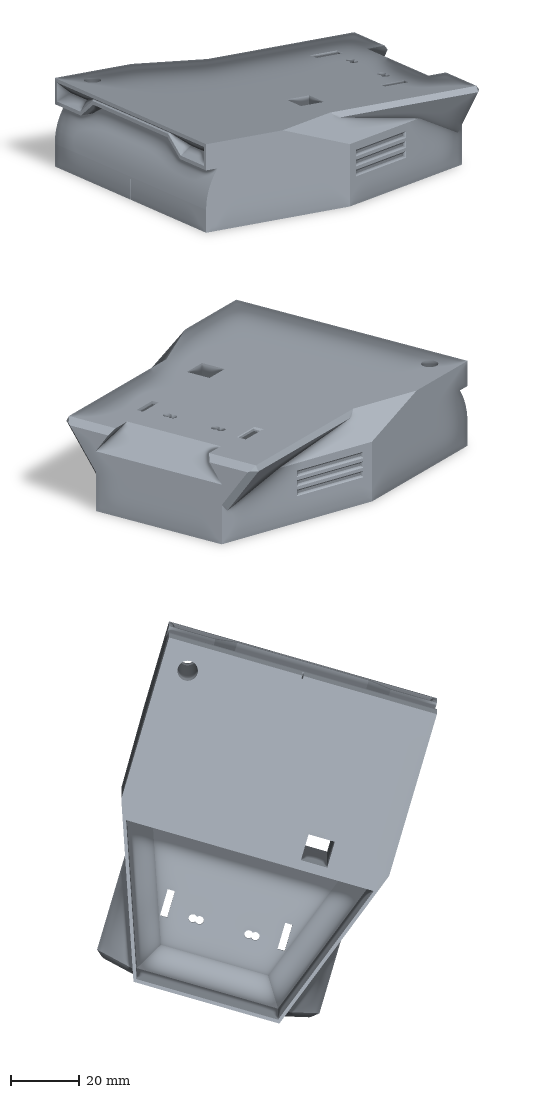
import cadquery as cq
import math

WIDTH = 81.5
LENGTH = 101.0
HEIGHT = 27.0
HALF_WIDTH = WIDTH / 2

TAPER_START = 50.0
TAPER_ANGLE = math.radians(20)
BODY_CHAMFER = 8.0
FRONT_RADIUS = 20.0
SHOULDER_Z = HEIGHT - BODY_CHAMFER

WALL = 1.0
CAVITY_START = 55.5

DECK_HALF_WIDTH = 33.8
DECK_TOP_INSET = 0.9
DECK_EDGE_Z = 25.2
DECK_UNDERSIDE_ANGLE = math.radians(54)
DECK_START = 30.3
DECK_BEVEL = 1.9
NOTCH_HALF_WIDTH = 16.5

LIP_INNER_X = 26.7
LIP_BRIDGE_X = 20.0
LIP_BRIDGE_Z = 23.9
LIP_WALL = 1.1

CORNER_HOLE_DIAMETER = 5.0
CORNER_BORE_DIAMETER = 6.0
CORNER_HOLE_INSET = 8.0
WINDOW_SIZE = 8.0
WINDOW_X, WINDOW_Y = 18.7, 48.7
SLOT_X, SLOT_Y = 17.9, 80.3
SLOT_WIDTH, SLOT_LENGTH = 2.2, 8.2
FLARE_X, FLARE_Y = -18.2, 80.1
FLARE_WIDTH, FLARE_LENGTH = 3.3, 9.2
FLARE_DEPTH = 0.5
PIN_HOLE_DIAMETER = 2.5
PIN_HOLE_SPACING = 2.0
PIN_PAIR_X, PIN_PAIR_Y = 8.5, 82.5

VENT_COUNT = 3
VENT_PITCH = 3.0
VENT_LENGTH, VENT_HEIGHT = 24.0, 2.0
VENT_DEPTH = 0.6
VENT_CENTRE_Y, VENT_CENTRE_Z = 64.1, 12.5

GROOVE_WIDTH, GROOVE_DEPTH, GROOVE_HEIGHT = 0.4, 1.0, 6.3


def across_width(points, half_width):
    """Extrude an outline of (y, z) points symmetrically across X."""
    return cq.Workplane("YZ").polyline(points).close().extrude(half_width, both=True)


def along_length(points, start, end):
    """Extrude an outline of (x, z) points from one Y position to another."""
    plane = cq.Workplane("XZ", origin=(0, start, 0))
    return plane.polyline(points).close().extrude(start - end)


def mirrored(points):
    """Close a right-hand outline with its reflection in X = 0."""
    return points + [(-x, z) for x, z in reversed(points)]


def polyhedron(outlines):
    """Solid bounded by flat faces, each given as a list of corner points."""
    faces = []
    for outline in outlines:
        wire = cq.Wire.makePolygon([cq.Vector(*corner) for corner in outline], close=True)
        faces.append(cq.Face.makeFromWires(wire))
    return cq.Workplane(cq.Solid.makeSolid(cq.Shell.makeShell(faces)))


def tapered_half_width(y, inset=0.0):
    """Half width of the tapered body at a given Y, measured inside walls of the given inset."""
    return HALF_WIDTH - (y - TAPER_START) * math.tan(TAPER_ANGLE) - inset / math.cos(TAPER_ANGLE)


REAR_HALF_WIDTH = tapered_half_width(LENGTH)


def chamfered_block(plan, height, chamfer):
    """Block on the ground plane with its tapered and rear top edges chamfered."""
    block = cq.Workplane("XY").polyline(plan).close().extrude(height)
    return block.edges(">Z").edges("not(|Y or <Y)").chamfer(chamfer)


def make_body():
    plan = mirrored([(HALF_WIDTH, 0), (HALF_WIDTH, TAPER_START), (REAR_HALF_WIDTH, LENGTH)])
    block = chamfered_block(plan, HEIGHT, BODY_CHAMFER)
    arc_start_z = HEIGHT - FRONT_RADIUS
    half_chord = FRONT_RADIUS * math.sqrt(0.5)
    side_profile = (
        cq.Workplane("YZ")
        .moveTo(0, 0)
        .lineTo(0, arc_start_z)
        .threePointArc((FRONT_RADIUS - half_chord, arc_start_z + half_chord), (FRONT_RADIUS, HEIGHT))
        .lineTo(LENGTH, HEIGHT)
        .lineTo(LENGTH, 0)
        .close()
        .extrude(HALF_WIDTH, both=True)
    )
    return block.intersect(side_profile)


def make_cavity():
    """Hollow under the rear of the deck, open below, following the tapered walls."""
    rear = LENGTH - WALL
    plan = mirrored([
        (tapered_half_width(CAVITY_START, WALL), CAVITY_START),
        (tapered_half_width(rear, WALL), rear),
    ])
    chamfer = BODY_CHAMFER + WALL * (math.sqrt(2) - 2)
    return chamfered_block(plan, HEIGHT - WALL, chamfer)


def rear_bevel(start, end):
    """Wedge that bevels the rear edge of the deck from one (x, z) profile corner to the next."""
    run_x, run_z = end[0] - start[0], end[1] - start[1]
    length = math.hypot(run_x, run_z)
    plane = cq.Plane(origin=(start[0], LENGTH, start[1]), xDir=(0, 1, 0), normal=(run_x, 0, run_z))
    section = [(-2 * DECK_BEVEL, -DECK_BEVEL), (DECK_BEVEL, 2 * DECK_BEVEL), (DECK_BEVEL, -DECK_BEVEL)]
    return cq.Workplane(plane).polyline(section).close().extrude(length)


def make_deck():
    bottom_half_width = DECK_HALF_WIDTH - DECK_EDGE_Z / math.tan(DECK_UNDERSIDE_ANGLE)
    half_profile = [
        (bottom_half_width, 0),
        (DECK_HALF_WIDTH, DECK_EDGE_Z),
        (DECK_HALF_WIDTH - DECK_TOP_INSET, HEIGHT),
    ]
    profile = mirrored(half_profile)
    deck = along_length(profile, DECK_START, LENGTH)
    for start, end in zip(profile[:-1], profile[1:]):
        deck = deck.cut(rear_bevel(start, end))

    notch_floor = across_width(
        [(LENGTH - BODY_CHAMFER, HEIGHT), (LENGTH, HEIGHT), (LENGTH, SHOULDER_Z)], HALF_WIDTH
    )
    notch_walls = along_length(
        mirrored([(NOTCH_HALF_WIDTH, HEIGHT), (REAR_HALF_WIDTH, SHOULDER_Z)]), DECK_START, LENGTH
    )
    return deck.cut(notch_floor.intersect(notch_walls))


def make_lip():
    outline = mirrored([
        (HALF_WIDTH, HEIGHT),
        (HALF_WIDTH, SHOULDER_Z),
        (LIP_INNER_X, SHOULDER_Z),
        (LIP_BRIDGE_X, LIP_BRIDGE_Z),
    ])
    return along_length(outline, 0, FRONT_RADIUS)


def make_mouth():
    """Pocket inset from the lip outline, all walls leaning in at 45 degrees until they meet."""
    slope = math.atan2(LIP_BRIDGE_Z - SHOULDER_Z, LIP_INNER_X - LIP_BRIDGE_X)
    corner_shift = LIP_WALL * math.tan(slope / 2)
    top = HEIGHT - LIP_WALL
    bottom = SHOULDER_Z + LIP_WALL
    outer = HALF_WIDTH - LIP_WALL
    inner_bottom = LIP_INNER_X + corner_shift
    inner_top = inner_bottom - (top - bottom) / math.tan(slope)
    depth = (top - bottom) / 2
    ridge_z = bottom + depth
    ridge_outer = outer - depth
    ridge_inner = inner_bottom + depth * math.tan(slope / 2)

    corners = [(outer, 0, top), (outer, 0, bottom), (inner_bottom, 0, bottom), (inner_top, 0, top)]
    far, near = (ridge_outer, depth, ridge_z), (ridge_inner, depth, ridge_z)
    pocket = polyhedron([
        corners,
        [corners[0], corners[1], far],
        [corners[1], corners[2], near, far],
        [corners[2], corners[3], near],
        [corners[3], corners[0], far, near],
    ])

    slit_bottom = LIP_BRIDGE_Z + LIP_WALL
    slit_depth = (top - slit_bottom) / 2
    slit_section = [(0, top), (0, slit_bottom), (slit_depth, slit_bottom + slit_depth)]
    slit = across_width(slit_section, LIP_BRIDGE_X + LIP_WALL)
    return slit.union(pocket).union(pocket.mirror("YZ"))


def through_holes():
    """Cutters for every opening in the top face, all running down to the underside."""
    base = cq.Workplane("XY")
    corner = base.center(CORNER_HOLE_INSET - HALF_WIDTH, CORNER_HOLE_INSET)
    corner_hole = corner.circle(CORNER_HOLE_DIAMETER / 2).extrude(HEIGHT)
    corner_bore = corner.circle(CORNER_BORE_DIAMETER / 2).extrude(HEIGHT - WALL)
    window = base.center(WINDOW_X, WINDOW_Y).rect(WINDOW_SIZE, WINDOW_SIZE).extrude(HEIGHT)
    slots = (
        base.pushPoints([(-SLOT_X, SLOT_Y), (SLOT_X, SLOT_Y)])
        .rect(SLOT_WIDTH, SLOT_LENGTH)
        .extrude(HEIGHT)
    )
    flare = (
        cq.Workplane("XY", origin=(FLARE_X, FLARE_Y, HEIGHT))
        .rect(FLARE_WIDTH, FLARE_LENGTH)
        .extrude(-FLARE_DEPTH, taper=45)
    )
    holes = corner_hole.union(corner_bore).union(window).union(slots).union(flare)
    for pair_x in (-PIN_PAIR_X, PIN_PAIR_X):
        for offset in (-PIN_HOLE_SPACING / 2, PIN_HOLE_SPACING / 2):
            pin_hole = base.center(pair_x + offset, PIN_PAIR_Y).circle(PIN_HOLE_DIAMETER / 2)
            holes = holes.union(pin_hole.extrude(HEIGHT))
    return holes


def side_vents():
    """Shallow vents with 45 degree walls, sunk square to both tapered sides."""
    vents = cq.Workplane("XY")
    wall_x = tapered_half_width(VENT_CENTRE_Y)
    for side in (-1, 1):
        inward = (-side * math.cos(TAPER_ANGLE), -math.sin(TAPER_ANGLE), 0)
        along = (-side * math.sin(TAPER_ANGLE), math.cos(TAPER_ANGLE), 0)
        for index in range(VENT_COUNT):
            z = VENT_CENTRE_Z + (index - (VENT_COUNT - 1) / 2) * VENT_PITCH
            plane = cq.Plane(origin=(side * wall_x, VENT_CENTRE_Y, z), xDir=along, normal=inward)
            vent = cq.Workplane(plane).rect(VENT_LENGTH, VENT_HEIGHT).extrude(VENT_DEPTH, taper=45)
            vents = vents.add(vent)
    return vents.combine()


front_groove = cq.Workplane("XY").box(
    GROOVE_WIDTH, GROOVE_DEPTH, GROOVE_HEIGHT, centered=(True, False, False)
)

result = (
    make_body()
    .union(make_deck())
    .union(make_lip())
    .cut(make_cavity())
    .cut(make_mouth())
    .cut(through_holes())
    .cut(side_vents())
    .cut(front_groove)
)